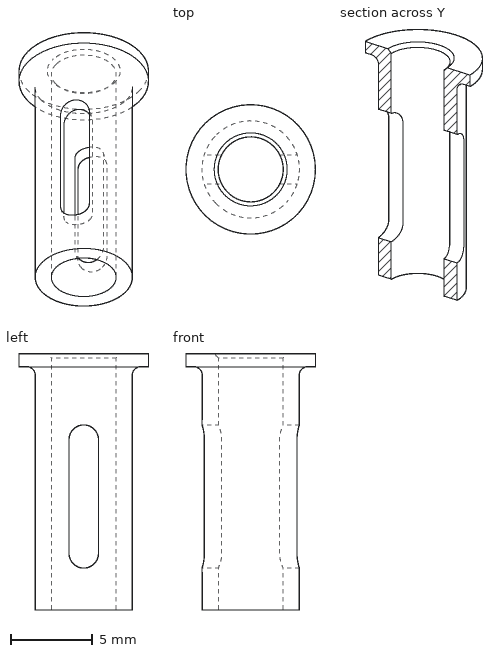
import cadquery as cq

total_height = 15.8
flange_diameter = 8.0
flange_thickness = 0.8
body_diameter = 6.0
neck_fillet = 0.5

bore_diameter = 4.0
bore_chamfer = 0.25

slot_width = 1.8
slot_bottom = 2.59
slot_top = 11.4


def make_sleeve():
    """Tube body with a top flange and a concave fillet under it."""
    body_radius = body_diameter / 2
    flange_radius = flange_diameter / 2
    flange_underside = total_height - flange_thickness
    profile = (
        cq.Workplane("XZ")
        .lineTo(body_radius, 0)
        .lineTo(body_radius, flange_underside - neck_fillet)
        .radiusArc((body_radius + neck_fillet, flange_underside), neck_fillet)
        .lineTo(flange_radius, flange_underside)
        .lineTo(flange_radius, total_height)
        .lineTo(0, total_height)
        .close()
    )
    return profile.revolve(360, (0, 0, 0), (0, 1, 0))


def cut_bore(sleeve):
    """Through bore, chamfered at the flange end."""
    bored = sleeve.faces(">Z").workplane().hole(bore_diameter)
    return bored.faces(">Z").edges("%CIRCLE").edges(cq.selectors.RadiusNthSelector(0)).chamfer(bore_chamfer)


def make_slot_cutter():
    """Upright round-ended bar crossing the whole body along X."""
    slot_middle = (slot_bottom + slot_top) / 2
    return (
        cq.Workplane("YZ")
        .center(0, slot_middle)
        .slot2D(slot_top - slot_bottom, slot_width, 90)
        .extrude(body_diameter, both=True)
    )


result = cut_bore(make_sleeve()).cut(make_slot_cutter())